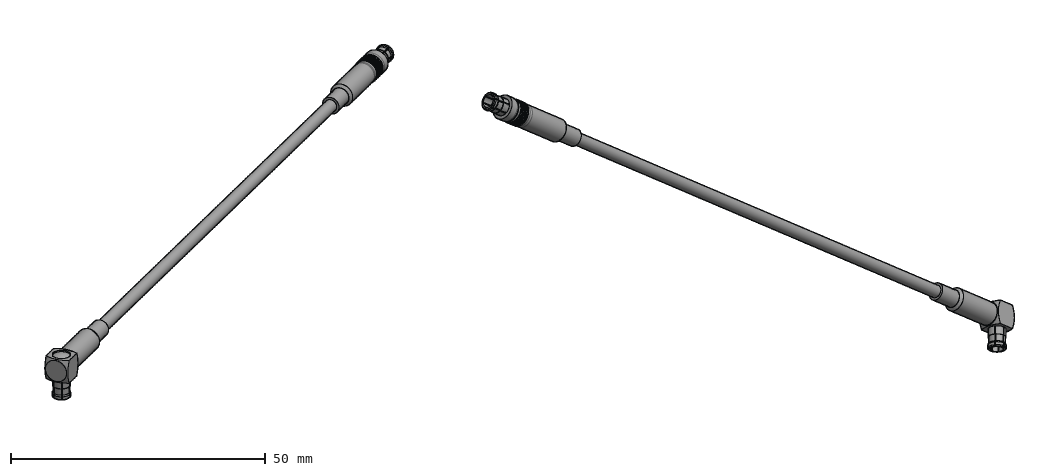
import cadquery as cq
import math

overall_length = 152.4
block_side = 5.0
half_block = block_side / 2
start_y = -half_block
end_y = start_y + overall_length

cable_diameter = 2.6
crimp_diameter = 3.6
sleeve_diameter = 4.8
sleeve_chamfer = 0.55

block_end_diameter = 4.6
cap_diameter = 3.6
cap_height = 0.2
cap_recess_depth = 0.3
block_cone_angle = 30
angled_sleeve_end_y = 13.1
angled_crimp_end_y = 18.0

plug_diameter = 3.4
lip_diameter = 3.7
bore_diameter = 2.6
plug_length = 4.2
lip_length = 0.8
lip_chamfer = 0.2
lip_taper_length = 0.3
shoulder_diameter = 3.6
shoulder_start = 2.5
slot_count = 6
slot_width = 0.16

collar_diameter = 5.0
neck_diameter = 4.6
front_collar_start = plug_length
front_collar_end = 6.3
rear_collar_start = 7.0
rear_collar_end = 9.1
groove_count = 2
groove_diameter = 4.8
sleeve_start = 9.8
straight_sleeve_end = 20.9
straight_crimp_end = 25.4
bevel_length = 0.5
bevel_depth = 0.1


def cylinder_along_y(diameter, y_from, y_to):
    """Cylinder centred on the cable axis between two Y positions."""
    plane = cq.Workplane("XZ", origin=(0, y_from, 0))
    return plane.circle(diameter / 2).extrude(y_from - y_to)


def make_plug():
    """Tubular plug split by slots, along +Z with its root at Z = 0 and its tip at plug_length."""
    plug_radius = plug_diameter / 2
    shoulder_radius = shoulder_diameter / 2
    lip_radius = lip_diameter / 2
    bore_radius = bore_diameter / 2
    lip_start_z = plug_length - lip_length
    outline = [
        (bore_radius, 0),
        (shoulder_radius, 0),
        (shoulder_radius, plug_length - shoulder_start),
        (plug_radius, plug_length - shoulder_start),
        (plug_radius, lip_start_z - lip_taper_length),
        (lip_radius, lip_start_z),
        (lip_radius, plug_length - lip_chamfer),
        (lip_radius - lip_chamfer, plug_length),
        (bore_radius, plug_length),
    ]
    plug = cq.Workplane("XZ").polyline(outline).close().revolve(360, (0, 0), (0, 1))
    for index in range(slot_count):
        slot = (
            cq.Workplane("XY")
            .box(lip_diameter / 2, slot_width, plug_length, centered=(False, True, False))
            .rotate((0, 0, 0), (0, 0, 1), index * 360 / slot_count)
        )
        plug = plug.cut(slot)
    return plug


def make_block():
    """Cube with its two Y ends turned to a cone, and a domed cap recessed in the top."""
    end_radius = block_end_diameter / 2
    corner_radius = half_block * math.sqrt(2)
    cone_length = (corner_radius - end_radius) * math.tan(math.radians(block_cone_angle))
    turned_outline = [
        (0, -half_block),
        (end_radius, -half_block),
        (corner_radius, cone_length - half_block),
        (corner_radius, half_block - cone_length),
        (end_radius, half_block),
        (0, half_block),
    ]
    turned = cq.Workplane("XY").polyline(turned_outline).close().revolve(360, (0, 0), (0, 1))
    block = cq.Workplane("XY").box(block_side, block_side, block_side).intersect(turned)

    cap_radius = cap_diameter / 2
    recess_z = half_block - cap_recess_depth
    dome_top_z = half_block + cap_height
    dome_rise = dome_top_z - recess_z
    dome_radius = (cap_radius**2 + dome_rise**2) / (2 * dome_rise)
    middle_x = cap_radius / 2
    middle_z = dome_top_z - dome_radius + math.sqrt(dome_radius**2 - middle_x**2)
    recess = cq.Workplane("XY", origin=(0, 0, recess_z)).circle(cap_radius).extrude(block_side)
    dome = (
        cq.Workplane("XZ")
        .moveTo(0, recess_z)
        .lineTo(cap_radius, recess_z)
        .threePointArc((middle_x, middle_z), (0, dome_top_z))
        .close()
        .revolve(360, (0, 0), (0, 1))
    )
    return block.cut(recess).union(dome)


def make_angled_connector():
    """Block, sleeve and crimp at the low Y end, with the plug pointing down."""
    sleeve = cylinder_along_y(sleeve_diameter, half_block, angled_sleeve_end_y)
    sleeve = sleeve.faces(">Y").chamfer(sleeve_chamfer)
    crimp = cylinder_along_y(crimp_diameter, half_block, angled_crimp_end_y)
    plug = make_plug().rotate((0, 0, 0), (1, 0, 0), 180).translate((0, 0, -half_block))
    return make_block().union(sleeve).union(crimp).union(plug)


def make_straight_body():
    """Turned neck, collars and sleeve of the straight connector."""
    neck_radius = neck_diameter / 2
    sleeve_radius = sleeve_diameter / 2
    collar_radius = collar_diameter / 2
    profile = [
        (0, front_collar_start),
        (collar_radius, front_collar_start),
        (collar_radius, front_collar_end - bevel_length),
        (collar_radius - bevel_depth, front_collar_end),
        (neck_radius, front_collar_end),
        (neck_radius, rear_collar_start),
        (collar_radius, rear_collar_start),
        (collar_radius, rear_collar_end),
        (neck_radius, rear_collar_end),
        (neck_radius, sleeve_start),
        (sleeve_radius, sleeve_start + bevel_length),
        (sleeve_radius, straight_sleeve_end - sleeve_chamfer),
        (sleeve_radius - sleeve_chamfer, straight_sleeve_end),
        (0, straight_sleeve_end),
    ]
    points = [(radius, end_y - distance) for radius, distance in profile]
    body = cq.Workplane("XY").polyline(points).close().revolve(360, (0, 0), (0, 1))

    groove_width = (rear_collar_end - rear_collar_start) / (2 * groove_count + 1)
    for index in range(groove_count):
        groove_y = end_y - rear_collar_start - (2 * index + 1) * groove_width
        groove = (
            cq.Workplane("XZ", origin=(0, groove_y, 0))
            .circle(collar_diameter)
            .circle(groove_diameter / 2)
            .extrude(groove_width)
        )
        body = body.cut(groove)
    return body


def make_straight_connector():
    """Plug, turned body and crimp in line at the high Y end."""
    crimp = cylinder_along_y(crimp_diameter, end_y - straight_crimp_end, end_y - sleeve_start)
    plug = make_plug().rotate((0, 0, 0), (1, 0, 0), -90).translate((0, end_y - plug_length, 0))
    return make_straight_body().union(crimp).union(plug)


cable = cylinder_along_y(cable_diameter, half_block, end_y - sleeve_start)
result = cable.union(make_angled_connector()).union(make_straight_connector())